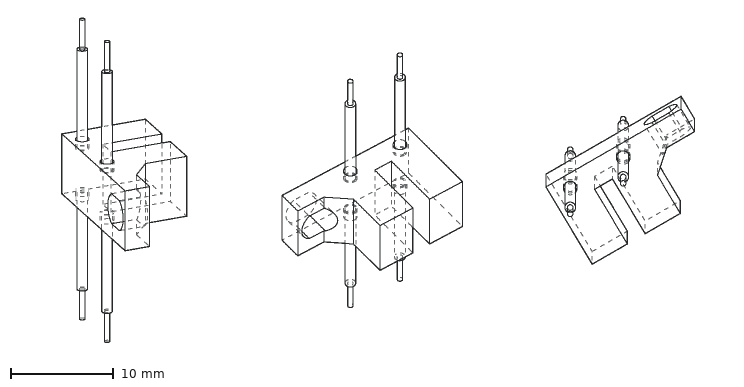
import cadquery as cq

body_length = 15.25
body_depth = 8.9
body_height = 6.35
arm_width = 3.97
slot_width = 2.0
flange_thickness = 2.6
gusset_run = 2.15
gusset_rise = 1.9

hole_diameter = 3.68
hole_flat_height = 3.18
hole_x = 12.92

lead_length = 31.75
bare_end_length = 3.18
wire_diameter = 0.55
sleeve_diameter = 1.05
lead_y = flange_thickness / 2
recess_diameter = 1.33
recess_depth = 0.95

second_arm_x = arm_width + slot_width
fork_end_x = second_arm_x + arm_width
lead_positions = [(arm_width / 2, lead_y), (second_arm_x + arm_width / 2, lead_y)]


def make_housing():
    """Extrude the forked plan outline through the body height."""
    outline = [
        (0, 0),
        (body_length, 0),
        (body_length, flange_thickness),
        (fork_end_x + gusset_run, flange_thickness),
        (fork_end_x, flange_thickness + gusset_rise),
        (fork_end_x, body_depth),
        (second_arm_x, body_depth),
        (second_arm_x, flange_thickness),
        (arm_width, flange_thickness),
        (arm_width, body_depth),
        (0, body_depth),
    ]
    return cq.Workplane("XY").polyline(outline).close().extrude(body_height / 2, both=True)


def make_mounting_hole():
    """Cutter along Y, passing through the flange and the foot of the gusset."""
    bore = cq.Workplane("XZ").center(hole_x, 0).circle(hole_diameter / 2).extrude(-body_depth)
    flats = (
        cq.Workplane("XZ").center(hole_x, 0)
        .rect(hole_diameter, hole_flat_height).extrude(-body_depth)
    )
    return bore.intersect(flats)


def make_rods(diameter, length):
    """Round rods along Z at both lead positions, centred on the housing."""
    return (
        cq.Workplane("XY").pushPoints(lead_positions)
        .circle(diameter / 2).extrude(length / 2, both=True)
    )


recesses = make_rods(recess_diameter, body_height).cut(
    make_rods(recess_diameter, body_height - 2 * recess_depth)
)
sleeves = make_rods(sleeve_diameter, lead_length - 2 * bare_end_length)
wires = make_rods(wire_diameter, lead_length)

result = make_housing().cut(make_mounting_hole()).cut(recesses).union(sleeves).union(wires)